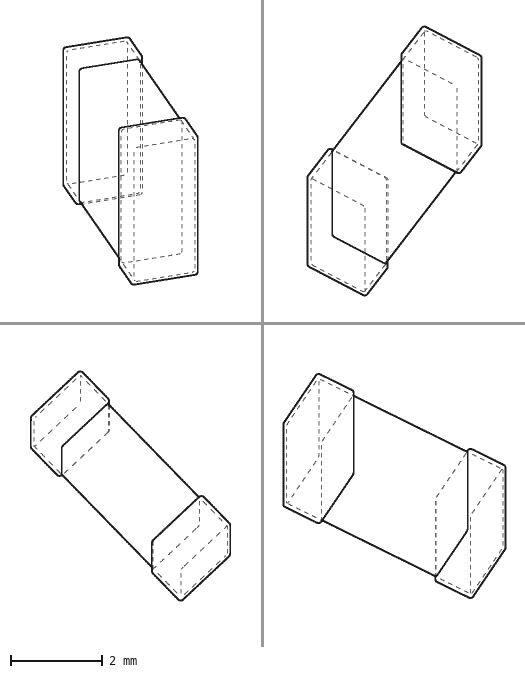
import cadquery as cq

length = 4.8
depth = 1.55
height = 3.5

cap_length = 0.955
cap_wall = 0.07
edge_radius = 0.075

body_length = length - 2 * cap_wall
body_depth = depth - 2 * cap_wall
body_height = height - 2 * cap_wall


def make_body():
    """Ceramic block, rounded along its four long edges, with flat ends."""
    return cq.Workplane("XY").box(body_length, body_depth, body_height).edges("|X").fillet(edge_radius)


def make_cap(side, body):
    """Rounded end cap with a pocket that fits the end of the body; side is -1 or +1 along X."""
    cap_center = side * (length - cap_length) / 2
    cap = cq.Workplane("XY").box(cap_length, depth, height).edges().fillet(edge_radius)
    return cap.translate((cap_center, 0, 0)).cut(body)


body = make_body()
caps = [make_cap(side, body) for side in (-1, 1)]

result = cq.Compound.makeCompound([body.val(), *[cap.val() for cap in caps]])